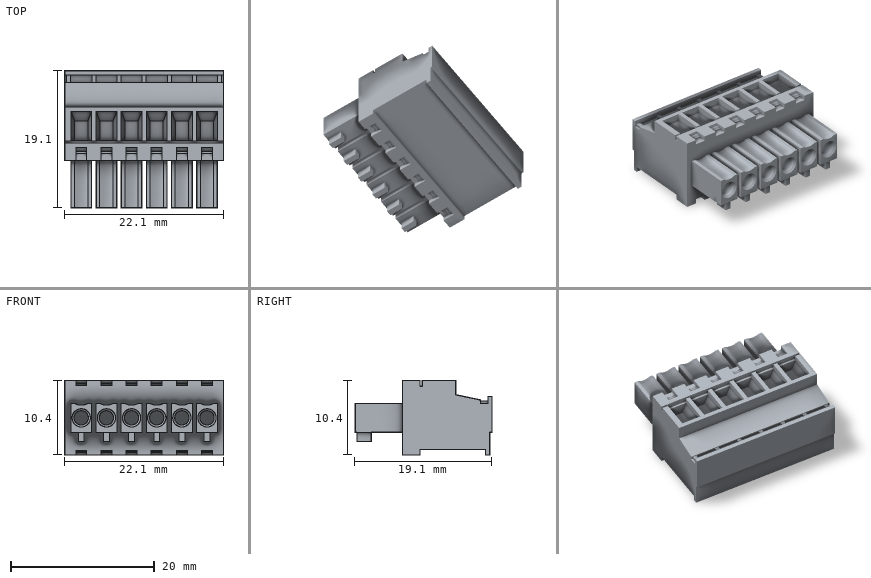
import cadquery as cq

POLES = 6
WIDTH = 22.1
END_MARGIN = 2.3
PITCH = (WIDTH - 2 * END_MARGIN) / (POLES - 1)
OVERLAP = 0.1

HEIGHT = 10.4
DEPTH = 12.5
TOTAL_LENGTH = 19.1
STEP_HEIGHT = 3.18
STEP_SETBACK = 0.3
FOOT_HEIGHT = 0.8
REAR_FOOT_LENGTH = 0.65
FRONT_FOOT_LENGTH = 2.48
LIP_HEIGHT = 8.18
LIP_THICKNESS = 0.6
GROOVE_FLOOR = 7.23
GROOVE_FRONT = 10.87
SLOPE_LOW = 7.71
SLOPE_HIGH = 8.42
TOP_REAR = 7.45
SLIT_FRONT = FRONT_FOOT_LENGTH
SLIT_REAR = 2.76
SLIT_DEPTH = FOOT_HEIGHT

RIB_WIDTH = 0.55
RIB_TOP = 7.58

POCKET_WIDTH = 2.9
POCKET_REAR = 6.85
POCKET_STRAIGHT_DEPTH = 1.15
FUNNEL_DEPTH = 1.2
FUNNEL_FLOOR_WIDTH = 1.81
FUNNEL_FLOOR_FRONT = 2.83
FUNNEL_FLOOR_REAR = 5.48

NOTCH_WIDTH = 1.52
NOTCH_LENGTH = 1.8
NOTCH_REAR_DRAFT = 0.07
NOTCH_DEPTH = 0.69
NOTCH_FLOOR_LENGTH = 1.02
LOWER_LEDGE_LENGTH = 1.28
LOWER_LEDGE_DEPTH = 0.5
UPPER_LEDGE_LENGTH = 1.45
UPPER_LEDGE_DEPTH = 0.35

PLUG_LENGTH = TOTAL_LENGTH - DEPTH
PLUG_WIDTH = POCKET_WIDTH
PLUG_TOP = GROOVE_FLOOR
PLUG_BOTTOM = STEP_HEIGHT
FLUTE_DEPTH = 0.27
FLUTE_WIDTH = 1.85
BORE_DIAMETER = 2.0
BORE_MOUTH_DIAMETER = 2.55
KEY_WIDTH = 0.82
KEY_BOTTOM = 1.88
KEY_TIP_SETBACK = 0.27
KEY_LENGTH = 2.01


def row(count):
    """X positions of `count` features at the pole pitch, centred on X = 0."""
    return [(i - (count - 1) / 2) * PITCH for i in range(count)]


def block(x_center, width, y_min, y_max, z_min, z_max):
    """Box centred on x_center in X and bounded by the given Y and Z limits."""
    box = cq.Workplane("XY").box(width, y_max - y_min, z_max - z_min, centered=(True, False, False))
    return box.translate((x_center, y_min, z_min))


def extrude_yz(points, x_center, width):
    """Closed (Y, Z) outline extruded along X, centred on x_center."""
    solid = cq.Workplane("YZ").polyline(points).close().extrude(width / 2, both=True)
    return solid.translate((x_center, 0, 0))


def housing():
    lip_front = DEPTH - LIP_THICKNESS
    step_rear = DEPTH - STEP_SETBACK
    rear_foot_front = step_rear - REAR_FOOT_LENGTH
    slit_floor = HEIGHT - SLIT_DEPTH
    outline = [
        (0, 0),
        (FRONT_FOOT_LENGTH, 0),
        (FRONT_FOOT_LENGTH, FOOT_HEIGHT),
        (rear_foot_front, FOOT_HEIGHT),
        (rear_foot_front, 0),
        (step_rear, 0),
        (step_rear, STEP_HEIGHT),
        (DEPTH, STEP_HEIGHT),
        (DEPTH, LIP_HEIGHT),
        (lip_front, LIP_HEIGHT),
        (lip_front, GROOVE_FLOOR),
        (GROOVE_FRONT, GROOVE_FLOOR),
        (GROOVE_FRONT, SLOPE_LOW),
        (TOP_REAR, SLOPE_HIGH),
        (TOP_REAR, HEIGHT),
        (SLIT_REAR, HEIGHT),
        (SLIT_REAR, slit_floor),
        (SLIT_FRONT, slit_floor),
        (SLIT_FRONT, HEIGHT),
        (0, HEIGHT),
    ]
    return extrude_yz(outline, 0, WIDTH)


def groove_rib(x):
    return block(
        x, RIB_WIDTH,
        GROOVE_FRONT - OVERLAP, DEPTH - LIP_THICKNESS + OVERLAP,
        GROOVE_FLOOR - OVERLAP, RIB_TOP,
    )


def pocket(x):
    """Straight rectangular opening that narrows into a funnel."""
    funnel_top = HEIGHT - POCKET_STRAIGHT_DEPTH
    opening = block(x, POCKET_WIDTH, SLIT_REAR, POCKET_REAR, funnel_top, HEIGHT)
    floor_center = (FUNNEL_FLOOR_FRONT + FUNNEL_FLOOR_REAR) / 2
    opening_center = (SLIT_REAR + POCKET_REAR) / 2
    funnel = (
        cq.Workplane("XY", origin=(x, opening_center, funnel_top))
        .rect(POCKET_WIDTH, POCKET_REAR - SLIT_REAR)
        .workplane(offset=-FUNNEL_DEPTH)
        .center(0, floor_center - opening_center)
        .rect(FUNNEL_FLOOR_WIDTH, FUNNEL_FLOOR_REAR - FUNNEL_FLOOR_FRONT)
        .loft(ruled=True)
    )
    return opening.union(funnel)


def notch(x):
    """Notch in the upper front edge, rising to the rear in two ledges."""
    outline = [
        (0, HEIGHT),
        (0, HEIGHT - NOTCH_DEPTH),
        (NOTCH_FLOOR_LENGTH, HEIGHT - NOTCH_DEPTH),
        (NOTCH_FLOOR_LENGTH, HEIGHT - LOWER_LEDGE_DEPTH),
        (LOWER_LEDGE_LENGTH, HEIGHT - LOWER_LEDGE_DEPTH),
        (UPPER_LEDGE_LENGTH, HEIGHT - UPPER_LEDGE_DEPTH),
        (NOTCH_LENGTH - NOTCH_REAR_DRAFT, HEIGHT - UPPER_LEDGE_DEPTH),
        (NOTCH_LENGTH, HEIGHT),
    ]
    return extrude_yz(outline, x, NOTCH_WIDTH)


def plug(x):
    """Plug with a round flute along its top and a key under its tip."""
    body = block(x, PLUG_WIDTH, -PLUG_LENGTH, OVERLAP, PLUG_BOTTOM, PLUG_TOP)
    flute_radius = ((FLUTE_WIDTH / 2) ** 2 + FLUTE_DEPTH**2) / (2 * FLUTE_DEPTH)
    flute_axis_height = PLUG_TOP - FLUTE_DEPTH + flute_radius
    flute = (
        cq.Workplane("XZ", origin=(x, 0, flute_axis_height))
        .circle(flute_radius)
        .extrude(PLUG_LENGTH)
    )
    key_front = KEY_TIP_SETBACK - PLUG_LENGTH
    key = block(x, KEY_WIDTH, key_front, key_front + KEY_LENGTH, KEY_BOTTOM, PLUG_BOTTOM + OVERLAP)
    return body.cut(flute).union(key)


def bore(x):
    """Blind bore along the whole plug with a 45 degree countersunk mouth."""
    mouth_radius = BORE_MOUTH_DIAMETER / 2
    bore_radius = BORE_DIAMETER / 2
    mouth_depth = mouth_radius - bore_radius
    half_section = [
        (0, 0),
        (mouth_radius, 0),
        (bore_radius, mouth_depth),
        (bore_radius, PLUG_LENGTH),
        (0, PLUG_LENGTH),
    ]
    tool = cq.Workplane("XY").polyline(half_section).close().revolve(360, (0, 0), (0, 1))
    return tool.translate((x, -PLUG_LENGTH, (PLUG_TOP + PLUG_BOTTOM) / 2))


result = housing()

for rib_x in row(POLES + 1):
    result = result.union(groove_rib(rib_x))

for pole_x in row(POLES):
    upper_notch = notch(pole_x)
    lower_notch = upper_notch.mirror("XY", (0, 0, HEIGHT / 2))
    result = result.cut(pocket(pole_x)).cut(upper_notch).cut(lower_notch)
    result = result.union(plug(pole_x)).cut(bore(pole_x))